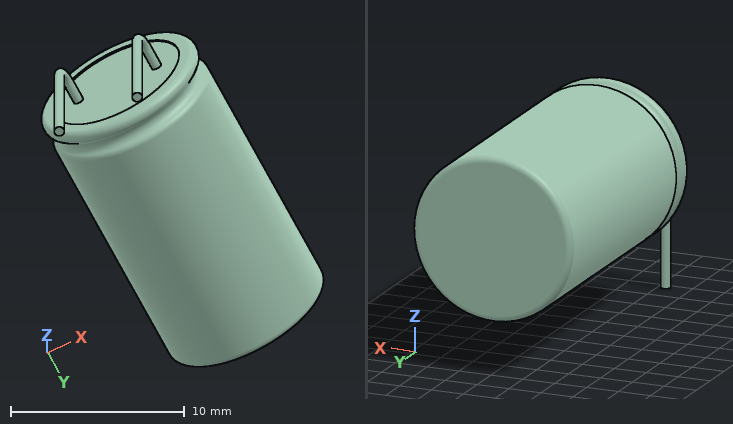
import cadquery as cq
import math


can_diameter = 10.0
can_radius = can_diameter / 2
rim_radius = 0.4

lead_diameter = 0.6
lead_radius = lead_diameter / 2
lead_pitch = 5.0
lead_straight = 1.2
lead_bend_radius = 1.2
lead_root = 0.4

total_length = 19.7
total_height = 13.1
lead_reach = lead_straight + lead_bend_radius
can_length = total_length - lead_reach - lead_radius
lead_bottom = can_radius - total_height

groove_floor_diameter = 9.18
groove_radius = 0.5
groove_position = 1.2

recess_diameter = 8.0
recess_depth = 0.1


def make_can():
    """Revolve the can profile: rounded rims and a crimp groove with rounded lips."""
    groove_floor = groove_floor_diameter / 2
    groove_centre = groove_floor + groove_radius
    lip_centre = can_radius - rim_radius

    centre_distance = rim_radius + groove_radius
    lip_angle = math.asin((groove_centre - lip_centre) / centre_distance)
    lip_offset = centre_distance * math.cos(lip_angle)
    tangent_offset = groove_radius * math.cos(lip_angle)
    tangent_radius = groove_centre - groove_radius * math.sin(lip_angle)

    rim_diagonal = rim_radius * math.sqrt(0.5)
    lip_mid_angle = (math.pi / 2 + lip_angle) / 2
    lip_mid_radius = lip_centre + rim_radius * math.sin(lip_mid_angle)
    lip_mid_offset = lip_offset - rim_radius * math.cos(lip_mid_angle)

    profile = (
        cq.Workplane("XY")
        .lineTo(lip_centre, 0)
        .threePointArc(
            (lip_centre + rim_diagonal, rim_radius - rim_diagonal),
            (can_radius, rim_radius),
        )
        .lineTo(can_radius, groove_position - lip_offset)
        .threePointArc(
            (lip_mid_radius, groove_position - lip_mid_offset),
            (tangent_radius, groove_position - tangent_offset),
        )
        .threePointArc(
            (groove_floor, groove_position),
            (tangent_radius, groove_position + tangent_offset),
        )
        .threePointArc(
            (lip_mid_radius, groove_position + lip_mid_offset),
            (can_radius, groove_position + lip_offset),
        )
        .lineTo(can_radius, can_length - rim_radius)
        .threePointArc(
            (lip_centre + rim_diagonal, can_length - rim_radius + rim_diagonal),
            (lip_centre, can_length),
        )
        .lineTo(0, can_length)
        .close()
    )
    return profile.revolve(360, (0, 0, 0), (0, 1, 0))


def make_recess():
    """Disc removed from the lead end of the can."""
    return cq.Workplane("XZ").circle(recess_diameter / 2).extrude(-recess_depth)


def make_lead(x):
    """Round wire leaving the can along -Y and bending down to -Z."""
    bend_diagonal = lead_bend_radius * math.sqrt(0.5)
    path = (
        cq.Workplane("YZ", origin=(x, 0, 0))
        .moveTo(lead_root, 0)
        .lineTo(-lead_straight, 0)
        .threePointArc(
            (-lead_straight - bend_diagonal, bend_diagonal - lead_bend_radius),
            (-lead_reach, -lead_bend_radius),
        )
        .lineTo(-lead_reach, lead_bottom)
    )
    section = cq.Workplane("XZ", origin=(x, lead_root, 0)).circle(lead_radius)
    return section.sweep(path)


result = make_can().cut(make_recess())
for side in (-1, 1):
    result = result.union(make_lead(side * lead_pitch / 2))